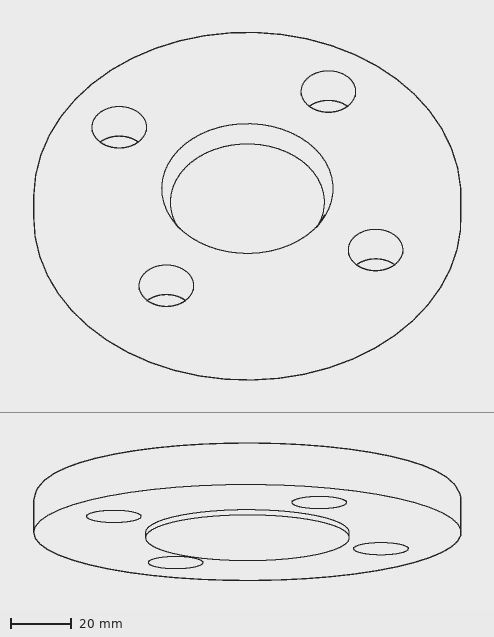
import cadquery as cq

disc_diameter = 141.0
total_height = 16.76
raised_face_height = 1.76
disc_thickness = total_height - raised_face_height
rim_radius = 4.5

raised_face_diameter = 67.2

bolt_hole_diameter = 18.0
bolt_circle_diameter = 100.0
bolt_count = 4

recess_top_diameter = 56.5
recess_floor_diameter = 50.8
recess_depth = 6.9


def make_disc():
    """Round plate, with its top edge rounded, standing on the Z = 0 plane."""
    plate = cq.Workplane("XY").circle(disc_diameter / 2).extrude(disc_thickness)
    return plate.faces(">Z").edges().fillet(rim_radius)


def make_raised_face():
    """Low round pad below the plate."""
    return cq.Workplane("XY").circle(raised_face_diameter / 2).extrude(-raised_face_height)


def make_recess():
    """Cone frustum that narrows from the top of the plate down to a flat floor."""
    return (
        cq.Workplane("XY")
        .workplane(offset=disc_thickness)
        .circle(recess_top_diameter / 2)
        .workplane(offset=-recess_depth)
        .circle(recess_floor_diameter / 2)
        .loft(ruled=True)
    )


def make_bolt_holes():
    """Cylinders on the bolt circle, the first one on the X axis."""
    return (
        cq.Workplane("XY")
        .polarArray(bolt_circle_diameter / 2, 0, 360, bolt_count)
        .circle(bolt_hole_diameter / 2)
        .extrude(disc_thickness)
    )


result = make_disc().union(make_raised_face()).cut(make_recess()).cut(make_bolt_holes())